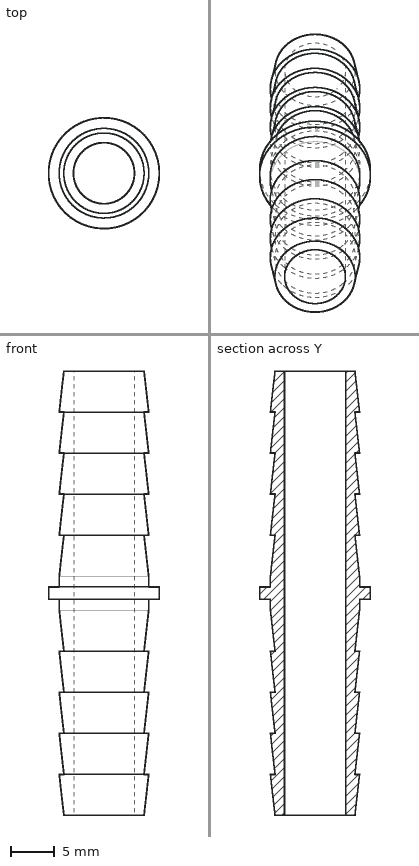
import cadquery as cq

total_length = 50.8
flange_diameter = 12.7
flange_thickness = 1.4
collar_length = 1.2
barb_count = 5
barb_diameter = 10.25
barb_tip_diameter = 9.2
bore_diameter = 6.95

flange_half = flange_thickness / 2
barbs_start = flange_half + collar_length
barb_pitch = (total_length / 2 - barbs_start) / barb_count


def cylinder(diameter, bottom, height):
    return cq.Workplane("XY").workplane(offset=bottom).circle(diameter / 2).extrude(height)


def barbed_end():
    """Upper hose tail: collar and barbs that each taper towards the free end."""
    outline = [(0, 0), (barb_diameter / 2, 0)]
    for index in range(barb_count):
        root_height = barbs_start + index * barb_pitch
        outline.append((barb_diameter / 2, root_height))
        outline.append((barb_tip_diameter / 2, root_height + barb_pitch))
    outline.append((0, total_length / 2))
    return cq.Workplane("XZ").polyline(outline).close().revolve(360, (0, 0), (0, 1))


upper_end = barbed_end()
lower_end = upper_end.mirror("XY")
flange = cylinder(flange_diameter, -flange_half, flange_thickness)
bore = cylinder(bore_diameter, -total_length / 2, total_length)

result = upper_end.union(lower_end).union(flange).cut(bore)